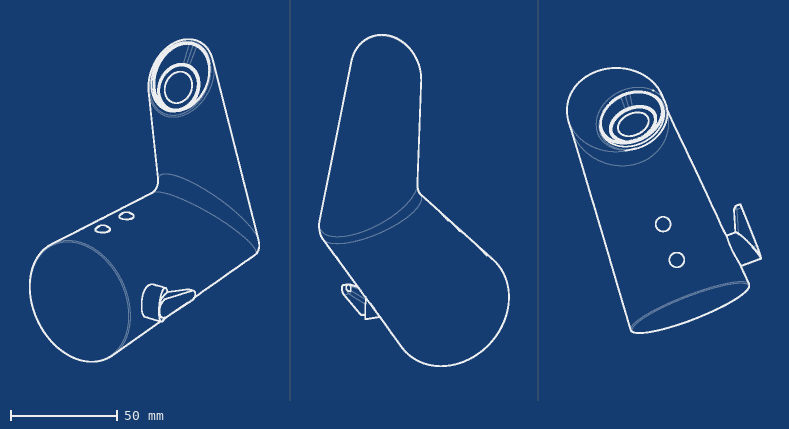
import cadquery as cq
import math

BASE_DIAMETER = 59.9
BASE_BOTTOM = (0.0, 0.0)
BASE_TOP = (0.0, BASE_DIAMETER)
CROOK = (74.5, 63.5)
HEEL = (124.9, 15.3)
MOUTH_LOW = (66.2, 103.3)
MOUTH_HIGH = (88.4, 135.8)

BEND_HALF_WIDTH = 22.7
MOUTH_HALF_WIDTH = 17.4
CROOK_TANGENT = 7.3
HEEL_TANGENT = 2.5
BEND_SECTIONS = 5
BASE_ROUND = 0.5
MOUTH_ROUND = 1.1

INSERT_HALF_WIDTH = 15.7
INSERT_HALF_LENGTH = 17.0
INSERT_SHIFT = 0.3
INSERT_LOW_DEPTH = 2.1
INSERT_HIGH_DEPTH = 0.1
FLANGE_THICKNESS = 0.4
SPIGOT_RADIUS = 11.5
SPIGOT_DEPTH = 4.0
RIM_GAP = 0.8
RIM_DEPTH = 0.1
NOZZLE_OFFSET = 5.0
NOZZLE_DIAMETER = 21.4
RING_DIAMETER = 21.8
RING_DEPTH = 0.7
CORE_DIAMETER = 15.2
CORE_DEPTH = 0.1
NOTCH_INNER_HALF_WIDTH = 1.7
NOTCH_OUTER_HALF_WIDTH = 2.3
NOTCH_DEPTH = 0.1

BUTTON_Y = (17.9, 36.0)
BUTTON_RADIUS = 3.5
BUTTON_HEIGHT = 1.7
BUTTON_SHANK = 2.0

LEVER_Y = 18.1
LEVER_Z = 31.4
STEM_RADIUS = 7.9
STEM_START_X = 24.2
LEVER_END_X = 39.5
ARM_ROOT_X = 32.5
ARM_TIP_X = 35.7
ARM_TIP_Y = 38.0
ARM_FRONT_Y = 10.7
ARM_ROOT_RADIUS = 4.7
ARM_TIP_RADIUS = 2.4
ARM_TIP_ROUND = 1.6
ARM_EDGE_ROUND = 1.3


def point_toward(start, end, distance):
    """Point at a distance from start along the line to end."""
    share = distance / math.dist(start, end)
    return tuple(a + share * (b - a) for a, b in zip(start, end))


def corner_round(before, corner, after, tangent):
    """Arc that rounds an outline corner, tangent to both of its sides."""
    start = cq.Vector(0, *point_toward(corner, before, tangent))
    end = cq.Vector(0, *point_toward(corner, after, tangent))
    direction = cq.Vector(0, *corner) - start
    return cq.Edge.makeTangentArc(start, direction, end)


def section(inner, outer, half_width):
    """Elliptical cross-section spanning two points of the side outline."""
    span = outer - inner
    return cq.Wire.makeEllipse(
        span.Length / 2,
        half_width,
        (inner + outer) / 2,
        cq.Vector(1, 0, 0).cross(span),
        span,
    )


def housing_blank():
    """Tapered base and spout, joined by a rounded bend."""
    crook = corner_round(BASE_TOP, CROOK, MOUTH_LOW, CROOK_TANGENT)
    heel = corner_round(BASE_BOTTOM, HEEL, MOUTH_HIGH, HEEL_TANGENT)
    steps = [i / (BEND_SECTIONS - 1) for i in range(BEND_SECTIONS)]
    bend = [section(crook.positionAt(t), heel.positionAt(t), BEND_HALF_WIDTH) for t in steps]
    base = section(cq.Vector(0, *BASE_TOP), cq.Vector(0, *BASE_BOTTOM), BASE_DIAMETER / 2)
    mouth = section(cq.Vector(0, *MOUTH_LOW), cq.Vector(0, *MOUTH_HIGH), MOUTH_HALF_WIDTH)
    base_part = cq.Workplane(cq.Solid.makeLoft([base, bend[0]], True))
    base_part = base_part.faces("<Y").edges().fillet(BASE_ROUND)
    bend_part = cq.Solid.makeLoft(bend)
    spout = cq.Workplane(cq.Solid.makeLoft([bend[-1], mouth], True))
    mouth_selector = cq.selectors.NearestToPointSelector(mouth_plane().origin.toTuple())
    spout = spout.faces(mouth_selector).edges().fillet(MOUTH_ROUND)
    return base_part.union(cq.Workplane(bend_part)).union(spout)


def mouth_plane():
    """Plane of the mouth: local x across, local y toward its upper end, z outward."""
    low = cq.Vector(0, *MOUTH_LOW)
    high = cq.Vector(0, *MOUTH_HIGH)
    across = cq.Vector(1, 0, 0)
    return cq.Plane((low + high) / 2, across, across.cross(high - low))


def insert_plane():
    """Plane of the insert face, with the same local directions as the mouth plane."""
    mouth = mouth_plane()
    half_length = math.dist(MOUTH_LOW, MOUTH_HIGH) / 2
    low = mouth.toWorldCoords((0, -half_length, -INSERT_LOW_DEPTH))
    high = mouth.toWorldCoords((0, half_length, -INSERT_HIGH_DEPTH))
    across = cq.Vector(1, 0, 0)
    up = (high - low).normalized()
    return cq.Plane((low + high) / 2 - up * INSERT_SHIFT, across, across.cross(up))


def insert_blank():
    """Thin elliptical flange with a round spigot behind the nozzle."""
    face = cq.Workplane(insert_plane())
    flange = face.ellipse(INSERT_HALF_WIDTH, INSERT_HALF_LENGTH).extrude(-FLANGE_THICKNESS)
    spigot = face.center(0, -NOZZLE_OFFSET).circle(SPIGOT_RADIUS).extrude(-SPIGOT_DEPTH)
    return flange.union(spigot)


def mouth_recess():
    """Space taken by the insert, together with the open mouth in front of it."""
    opening = cq.Workplane(insert_plane()).ellipse(INSERT_HALF_WIDTH, INSERT_HALF_LENGTH)
    return insert_blank().union(opening.extrude(2 * INSERT_LOW_DEPTH))


def make_insert():
    """Outlet plate with a stepped edge, a ringed nozzle and a shallow V notch."""
    face = cq.Workplane(insert_plane())
    rim = (
        face.ellipse(INSERT_HALF_WIDTH, INSERT_HALF_LENGTH)
        .ellipse(INSERT_HALF_WIDTH - RIM_GAP, INSERT_HALF_LENGTH - RIM_GAP)
        .extrude(-RIM_DEPTH)
    )
    nozzle = face.center(0, -NOZZLE_OFFSET)
    ring = nozzle.circle(RING_DIAMETER / 2).circle(NOZZLE_DIAMETER / 2).extrude(-RING_DEPTH)
    core = nozzle.circle(CORE_DIAMETER / 2).extrude(-CORE_DEPTH)
    return insert_blank().cut(rim).cut(ring).cut(core).cut(notch())


def notch():
    """V groove that widens from the nozzle ring to the upper edge of the insert."""
    inner_y = RING_DIAMETER / 2 - NOZZLE_OFFSET
    wires = [
        cq.Wire.makePolygon(
            [
                insert_plane().toWorldCoords((-half, y, 0)),
                insert_plane().toWorldCoords((half, y, 0)),
                insert_plane().toWorldCoords((0, y, -NOTCH_DEPTH)),
            ],
            close=True,
        )
        for y, half in (
            (inner_y, NOTCH_INNER_HALF_WIDTH),
            (INSERT_HALF_LENGTH, NOTCH_OUTER_HALF_WIDTH),
        )
    ]
    return cq.Workplane(cq.Solid.makeLoft(wires, True))


def make_button(y):
    """Domed button standing square to the sloping top line of the housing."""
    slope = (CROOK[1] - BASE_TOP[1]) / (CROOK[0] - BASE_TOP[0])
    normal = cq.Vector(0, -slope, 1)
    seat = cq.Plane((0, y, BASE_TOP[1] + slope * y), (1, 0, 0), normal)
    sphere_radius = (BUTTON_RADIUS**2 + BUTTON_HEIGHT**2) / (2 * BUTTON_HEIGHT)
    sphere = cq.Workplane(seat).workplane(offset=BUTTON_HEIGHT - sphere_radius).sphere(sphere_radius)
    column = (
        cq.Workplane(seat)
        .workplane(offset=-BUTTON_SHANK)
        .circle(BUTTON_RADIUS)
        .extrude(BUTTON_SHANK + BUTTON_HEIGHT)
    )
    return column.intersect(sphere)


def make_lever():
    """Round stem with a slanted end face, carrying a tapering arm."""
    stem_front = (LEVER_END_X, LEVER_Y - STEM_RADIUS)
    stem_back = (ARM_ROOT_X, LEVER_Y + STEM_RADIUS)
    top_plane = cq.Workplane("XY", origin=(0, 0, LEVER_Z))
    stem_side = (
        top_plane.moveTo(STEM_START_X, stem_front[1])
        .lineTo(*stem_front)
        .lineTo(*stem_back)
        .lineTo(STEM_START_X, stem_back[1])
        .close()
        .extrude(STEM_RADIUS, both=True)
    )
    stem = (
        cq.Workplane("YZ", origin=(STEM_START_X, LEVER_Y, LEVER_Z))
        .circle(STEM_RADIUS)
        .extrude(LEVER_END_X - STEM_START_X)
        .intersect(stem_side)
    )
    arm_side = (
        top_plane.moveTo(*stem_front)
        .lineTo(LEVER_END_X, ARM_TIP_Y)
        .lineTo(ARM_TIP_X + ARM_TIP_ROUND, ARM_TIP_Y)
        .lineTo(ARM_TIP_X, ARM_TIP_Y - ARM_TIP_ROUND)
        .lineTo(*stem_back)
        .close()
        .extrude(ARM_ROOT_RADIUS, both=True)
    )
    leaning_face = cq.selectors.NearestToPointSelector(
        ((ARM_ROOT_X + ARM_TIP_X) / 2, (stem_back[1] + ARM_TIP_Y) / 2, LEVER_Z)
    )
    arm = arm_side.intersect(arm_outline())
    arm = arm.faces(leaning_face).edges("not |Z").fillet(ARM_EDGE_ROUND)
    return stem.union(arm)


def arm_outline():
    """Root circle and smaller tip circle joined by their common tangents, swept along X."""
    root_center = ARM_FRONT_Y + ARM_ROOT_RADIUS
    tip_center = ARM_TIP_Y - ARM_TIP_RADIUS
    lean = (ARM_ROOT_RADIUS - ARM_TIP_RADIUS) / (tip_center - root_center)
    rise = math.sqrt(1 - lean**2)
    root = (root_center + ARM_ROOT_RADIUS * lean, ARM_ROOT_RADIUS * rise)
    tip = (tip_center + ARM_TIP_RADIUS * lean, ARM_TIP_RADIUS * rise)
    return (
        cq.Workplane("YZ", origin=(STEM_START_X, 0, LEVER_Z))
        .moveTo(root[0], -root[1])
        .lineTo(tip[0], -tip[1])
        .threePointArc((ARM_TIP_Y, 0), tip)
        .lineTo(*root)
        .threePointArc((ARM_FRONT_Y, 0), (root[0], -root[1]))
        .close()
        .extrude(LEVER_END_X - STEM_START_X)
    )


insert = make_insert()
buttons = [make_button(y) for y in BUTTON_Y]
lever = make_lever()

housing = housing_blank().cut(mouth_recess()).cut(lever)
for button in buttons:
    housing = housing.cut(button)

result = cq.Compound.makeCompound(
    [housing.val(), insert.val(), lever.val(), *[button.val() for button in buttons]]
)